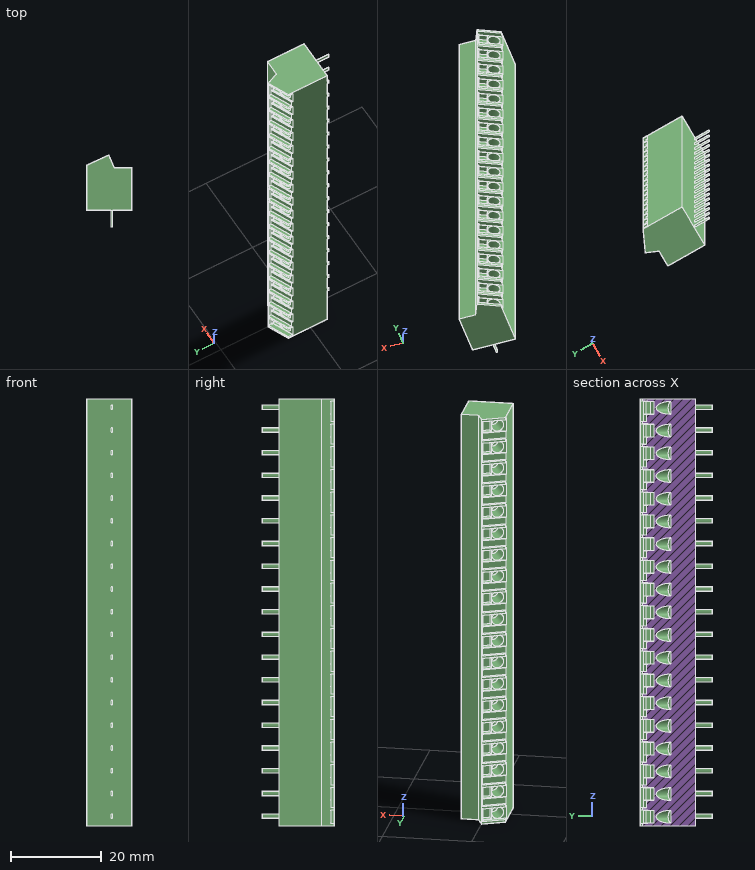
import cadquery as cq
import math

length = 94.1
width = 10.0
corner_y = 10.0
apex_x = 4.9
apex_y = 12.2
shelf_x = 6.1
shelf_y = 9.4

pole_count = 19
first_pole_drop = 2.0
last_pole_rise = 2.1
pitch = (length - first_pole_drop - last_pole_rise) / (pole_count - 1)
rib_thickness = 0.6

slope_length = math.hypot(apex_x, apex_y - corner_y)
slope_angle = math.degrees(math.atan2(apex_y - corner_y, apex_x))
ridge_width = 0.2
recess_end = slope_length - ridge_width
recess_depth = 0.75
seat_height = 2.9
seat_depth = 1.0
wire_hole_diameter = 2.7
wire_hole_along = 1.5
wire_hole_depth = 5.6
slot_height = 2.7
slot_depth = 2.3
slot_start = 2.9
slot_lead_in = 0.4
slot_wall = recess_end - slot_lead_in
overrun = 1.9

pin_x = 5.55
pin_rise = 0.14
pin_length = 3.7
pin_thickness = 0.4
pin_height = 1.0
pin_root = 0.9


def make_body():
    outline = [
        (0, 0),
        (width, 0),
        (width, shelf_y),
        (shelf_x, shelf_y),
        (apex_x, apex_y),
        (0, corner_y),
    ]
    return cq.Workplane("XY").polyline(outline).close().extrude(length)


def slope_box(start, end, bottom, top, depth):
    """Cutter sunk into the slope from start to end, measured from its lower corner."""
    size = (end - start, depth + overrun, top - bottom)
    box = cq.Workplane("XY").box(*size, centered=False).translate((start, -depth, bottom))
    return place_on_slope(box)


def place_on_slope(cutter):
    """Turn +X along the slope and +Y along its outward normal."""
    return cutter.rotate((0, 0, 0), (0, 0, 1), slope_angle).translate((0, corner_y, 0))


def wire_hole(z):
    hole = (
        cq.Workplane("XZ", origin=(wire_hole_along, overrun, z))
        .circle(wire_hole_diameter / 2)
        .extrude(wire_hole_depth + overrun)
    )
    return place_on_slope(hole)


def release_slot(z):
    """Slot reaching up to the ridge, bevelled on the side beside it."""
    outline = [
        (slot_start, 0),
        (slot_start, -slot_depth),
        (slot_wall, -slot_depth),
        (slot_wall, -recess_depth - slot_lead_in),
        (recess_end, -recess_depth),
        (recess_end, 0),
    ]
    bottom = z - slot_height / 2
    slot = cq.Workplane("XY", origin=(0, 0, bottom)).polyline(outline).close().extrude(slot_height)
    return place_on_slope(slot)


def make_pin(z):
    """Straight pin pointing along -Y, rooted inside the body."""
    return (
        cq.Workplane("XZ", origin=(pin_x, pin_root, z))
        .ellipse(pin_thickness / 2, pin_height / 2)
        .extrude(pin_root + pin_length)
    )


result = make_body()
for pole in range(pole_count):
    z = length - first_pole_drop - pole * pitch
    seat_top = z + seat_height / 2
    seat_bottom = z - seat_height / 2
    is_last = pole == pole_count - 1
    recess_bottom = seat_bottom if is_last else seat_top - pitch + rib_thickness
    result = (
        result
        .cut(slope_box(-overrun, recess_end, recess_bottom, seat_top, recess_depth))
        .cut(slope_box(-overrun, slot_wall, seat_bottom, seat_top, seat_depth))
        .cut(release_slot(z))
        .cut(wire_hole(z))
        .union(make_pin(z + pin_rise))
    )